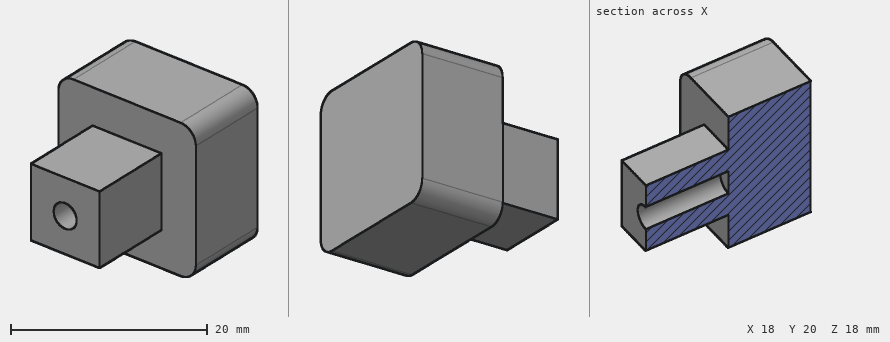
import cadquery as cq

head_side = 18.0
head_depth = 10.0
corner_radius = 2.0
stem_side = head_side / 2
stem_length = 10.0
hole_diameter = 3.0
hole_depth = stem_length


def make_head():
    """Square block behind the XZ plane, with its four long edges rounded."""
    block = cq.Workplane("XZ").rect(head_side, head_side).extrude(-head_depth)
    return block.edges("|Y").fillet(corner_radius)


def make_stem():
    """Square stem running forward from the head along -Y."""
    return cq.Workplane("XZ").rect(stem_side, stem_side).extrude(stem_length)


def make_hole():
    """Round blind hole entering from the free end of the stem."""
    stem_end = cq.Workplane("XZ", origin=(0, -stem_length, 0))
    return stem_end.circle(hole_diameter / 2).extrude(-hole_depth)


result = make_head().union(make_stem()).cut(make_hole())